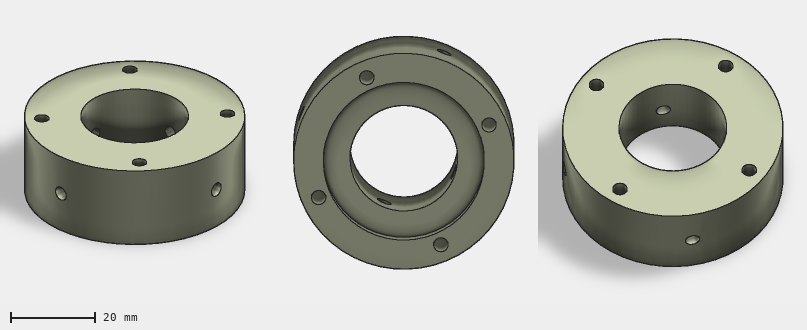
import cadquery as cq

outer_diameter = 52.0
bore_diameter = 25.4
height = 20.0

recess_diameter = 37.95
recess_depth = 3.5

hole_diameter = 3.4
axial_hole_spacing = 31.0


def ring():
    """Plain ring standing on the XY plane."""
    return cq.Workplane("XY").circle(outer_diameter / 2).circle(bore_diameter / 2).extrude(height)


def bottom_recess():
    """Counterbore that widens the bore at the underside."""
    return cq.Workplane("XY").circle(recess_diameter / 2).extrude(recess_depth)


def axial_holes():
    """Four vertical through holes at the corners of a square."""
    return (
        cq.Workplane("XY")
        .rect(axial_hole_spacing, axial_hole_spacing, forConstruction=True)
        .vertices()
        .circle(hole_diameter / 2)
        .extrude(height)
    )


def radial_hole_pair(plane):
    """Two opposite wall holes at mid-height, made by one cylinder across the ring."""
    return (
        cq.Workplane(plane)
        .center(0, height / 2)
        .circle(hole_diameter / 2)
        .extrude(outer_diameter / 2, both=True)
    )


result = ring().cut(bottom_recess()).cut(axial_holes())
for side_plane in ("XZ", "YZ"):
    result = result.cut(radial_hole_pair(side_plane))